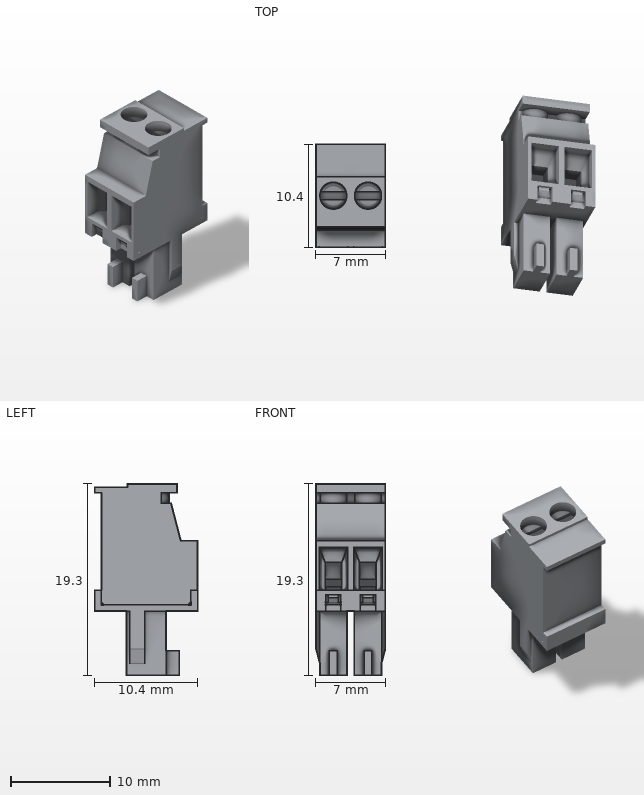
import cadquery as cq


WIDTH = 7.0
DEPTH = 10.4
HEIGHT = 19.3
FRONT_Y = -DEPTH / 2
BACK_Y = DEPTH / 2
POLE_X = WIDTH / 4
POLES = (-POLE_X, POLE_X)
SIDES = (-1, 1)

TRAY_BOTTOM_Z = 6.48
TRAY_FLOOR_Z = 7.12
LIP_TOP_Z = 8.59
LIP_THICKNESS = 0.7
LATCH_WINDOW_WIDTH = 1.55
LATCH_WINDOW_TOP_Z = 8.15

LEG_INNER_X = 0.35
LEG_OUTER_X = 3.1
LEG_DEPTH = 4.0
KEY_WIDTH = 0.77
KEY_LENGTH = 1.35
KEY_HEIGHT = 2.5
RAIL_FRONT_Y = 0.15
RAIL_BACK_Y = 1.65
RAIL_RAMP_TOP_Z = 2.7
RAIL_RAMP_BOTTOM_Z = 1.22

HOUSING_BACK_Y = BACK_Y - LIP_THICKNESS
FRONT_SETBACK = 0.01
HOUSING_FRONT_Y = FRONT_Y + FRONT_SETBACK
BOTTOM_CHAMFER = 0.23
SHELF_Z = 13.59
SHELF_BACK_Y = -3.5
LEDGE_Z = 17.37
LEDGE_FRONT_Y = -2.5
NOTCH_BACK_Y = -1.5
CAP_BOTTOM_Z = 18.4
CAP_FRONT_Y = -3.1
CAP_STEP_Y = 1.9
CAP_BACK_Z = 18.97

BOSS_RADIUS = 1.5
BOSS_FRONT_Y = -2.32

NOSE_WIDTH = 1.02
NOSE_REACH = 0.37
NOSE_RAMP_HEIGHT = 0.48

ENTRY_X = 1.74
ENTRY_WIDTH = 2.85
ENTRY_TOP_Z = 12.91
FUNNEL_FRONT_Y = -3.63
FUNNEL_LENGTH = 0.42
FUNNEL_ROUNDING = 0.5
MOUTH_MARGIN = 0.02
CHANNEL_WIDTH = 1.7
CHANNEL_TOP_Z = 11.4
CHANNEL_FRONT_Y = FUNNEL_FRONT_Y + FUNNEL_LENGTH
CHANNEL_BACK_Y = 1.35

CLAMP_WIDTH = 1.62
CLAMP_DEPTH = 2 * CHANNEL_BACK_Y
CLAMP_BOTTOM_Z = 9.69
CONTACT_WIDTH = 1.58
CONTACT_TOP_Z = 8.92

SCREW_DIAMETER = 2.7
SCREW_CROWN_DIAMETER = 2.1
SCREW_TOP_Z = 18.22
SCREW_HEIGHT = 1.0
SLOT_WIDTH = 0.81
SLOT_DEPTH = 0.5


def block(x_range, y_range, z_range):
    """Box between the given limits."""
    (x0, x1), (y0, y1), (z0, z1) = x_range, y_range, z_range
    corner = cq.Vector(x0, y0, z0)
    return cq.Workplane(obj=cq.Solid.makeBox(x1 - x0, y1 - y0, z1 - z0, corner))


def span(centre, width):
    """Limits of a width placed evenly about a centre."""
    return (centre - width / 2, centre + width / 2)


def side_profile(points, x_range):
    """Extrusion along X of an outline given as (Y, Z) points."""
    x0, x1 = x_range
    return cq.Workplane("YZ").polyline(points).close().extrude(x1 - x0).translate((x0, 0, 0))


def make_base():
    """Tray with a front and a back lip, standing on two legs."""
    tray_x = span(0, WIDTH)
    base = block(tray_x, (FRONT_Y, BACK_Y), (TRAY_BOTTOM_Z, LIP_TOP_Z))
    inside_y = (FRONT_Y + LIP_THICKNESS, BACK_Y - LIP_THICKNESS)
    base = base.cut(block(tray_x, inside_y, (TRAY_FLOOR_Z, LIP_TOP_Z)))
    for x in POLES:
        window_x = span(x, LATCH_WINDOW_WIDTH)
        base = base.cut(block(window_x, (FRONT_Y, inside_y[0]), (TRAY_BOTTOM_Z, LATCH_WINDOW_TOP_Z)))
    for side in SIDES:
        base = base.union(make_leg(side))
    return base


def make_leg(side):
    """Leg with a key at its front and a ramped rail on its outer face."""
    leg_x = sorted((side * LEG_INNER_X, side * LEG_OUTER_X))
    leg_front_y = -LEG_DEPTH / 2
    leg = block(leg_x, span(0, LEG_DEPTH), (0, TRAY_BOTTOM_Z))
    key_y = (leg_front_y - KEY_LENGTH, leg_front_y)
    key = block(span(side * POLE_X, KEY_WIDTH), key_y, (0, KEY_HEIGHT))
    rail_outline = [
        (side * LEG_OUTER_X, TRAY_BOTTOM_Z),
        (side * WIDTH / 2, TRAY_BOTTOM_Z),
        (side * WIDTH / 2, RAIL_RAMP_TOP_Z),
        (side * LEG_OUTER_X, RAIL_RAMP_BOTTOM_Z),
    ]
    rail = cq.Workplane("XZ", origin=(0, RAIL_BACK_Y, 0)).polyline(rail_outline).close()
    rail = rail.extrude(RAIL_BACK_Y - RAIL_FRONT_Y)
    return leg.union(key).union(rail)


def make_housing():
    """Housing that sits in the tray, with wire entries, screw holes and latch noses."""
    front_lip_back_y = FRONT_Y + LIP_THICKNESS
    outline = [
        (front_lip_back_y + BOTTOM_CHAMFER, TRAY_FLOOR_Z),
        (HOUSING_BACK_Y - BOTTOM_CHAMFER, TRAY_FLOOR_Z),
        (HOUSING_BACK_Y, TRAY_FLOOR_Z + BOTTOM_CHAMFER),
        (HOUSING_BACK_Y, CAP_BOTTOM_Z),
        (BACK_Y, CAP_BOTTOM_Z),
        (BACK_Y, CAP_BACK_Z),
        (CAP_STEP_Y, CAP_BACK_Z),
        (CAP_STEP_Y, HEIGHT),
        (CAP_FRONT_Y, HEIGHT),
        (CAP_FRONT_Y, CAP_BOTTOM_Z),
        (NOTCH_BACK_Y, CAP_BOTTOM_Z),
        (NOTCH_BACK_Y, LEDGE_Z),
        (LEDGE_FRONT_Y, LEDGE_Z),
        (SHELF_BACK_Y, SHELF_Z),
        (HOUSING_FRONT_Y, SHELF_Z),
        (HOUSING_FRONT_Y, LIP_TOP_Z),
        (front_lip_back_y, LIP_TOP_Z),
        (front_lip_back_y, TRAY_FLOOR_Z + BOTTOM_CHAMFER),
    ]
    housing = side_profile(outline, span(0, WIDTH))
    for x in POLES:
        housing = housing.union(make_boss(x)).union(make_latch_nose(x))
        housing = housing.cut(screw_hole(x))
    for side in SIDES:
        housing = housing.cut(wire_entry(side * ENTRY_X))
    return housing


def make_boss(x):
    """Upright round boss that fills the notch in front of a screw."""
    boss = cq.Workplane("XY", origin=(x, BOSS_FRONT_Y + BOSS_RADIUS, LEDGE_Z))
    return boss.circle(BOSS_RADIUS).extrude(CAP_BOTTOM_Z - LEDGE_Z)


def make_latch_nose(x):
    """Nose in a window of the front lip, with a ramp on its underside."""
    root_y = FRONT_Y + LIP_THICKNESS
    ramp_bottom_z = TRAY_FLOOR_Z + BOTTOM_CHAMFER
    outline = [
        (root_y, ramp_bottom_z),
        (root_y - NOSE_REACH, ramp_bottom_z + NOSE_RAMP_HEIGHT),
        (root_y - NOSE_REACH, LATCH_WINDOW_TOP_Z),
        (root_y, LATCH_WINDOW_TOP_Z),
    ]
    return side_profile(outline, span(x, NOSE_WIDTH))


def screw_hole(x):
    """Round hole from the top of the cap down to the seat of a screw."""
    seat_z = SCREW_TOP_Z - SCREW_HEIGHT
    return cq.Workplane("XY", origin=(x, 0, seat_z)).circle(SCREW_DIAMETER / 2).extrude(HEIGHT - seat_z)


def round_funnel_mouth(cutter):
    """Rounds the edges where the straight walls of an entry cutter turn into its funnel."""
    mouth_edges = cq.selectors.BoxSelector(
        (-WIDTH, FUNNEL_FRONT_Y - MOUTH_MARGIN, LIP_TOP_Z + MOUTH_MARGIN),
        (WIDTH, FUNNEL_FRONT_Y + MOUTH_MARGIN, HEIGHT),
    )
    return cutter.edges(mouth_edges).fillet(FUNNEL_ROUNDING)


def wire_entry(x):
    """Cutter for a wire entry: pocket, rounded funnel on three sides and blind channel."""
    plan = [
        (-ENTRY_WIDTH / 2, FRONT_Y),
        (-ENTRY_WIDTH / 2, FUNNEL_FRONT_Y),
        (-CHANNEL_WIDTH / 2, CHANNEL_FRONT_Y),
        (-CHANNEL_WIDTH / 2, CHANNEL_BACK_Y),
        (CHANNEL_WIDTH / 2, CHANNEL_BACK_Y),
        (CHANNEL_WIDTH / 2, CHANNEL_FRONT_Y),
        (ENTRY_WIDTH / 2, FUNNEL_FRONT_Y),
        (ENTRY_WIDTH / 2, FRONT_Y),
    ]
    elevation = [
        (FRONT_Y, LIP_TOP_Z),
        (CHANNEL_BACK_Y, LIP_TOP_Z),
        (CHANNEL_BACK_Y, CHANNEL_TOP_Z),
        (CHANNEL_FRONT_Y, CHANNEL_TOP_Z),
        (FUNNEL_FRONT_Y, ENTRY_TOP_Z),
        (FRONT_Y, ENTRY_TOP_Z),
    ]
    across = cq.Workplane("XY", origin=(0, 0, LIP_TOP_Z)).polyline(plan).close()
    across = round_funnel_mouth(across.extrude(ENTRY_TOP_Z - LIP_TOP_Z))
    upright = round_funnel_mouth(side_profile(elevation, span(0, ENTRY_WIDTH)))
    return across.intersect(upright).translate((x, 0, 0))


def make_screw(x):
    """Slotted screw head with a rounded rim."""
    screw = cq.Workplane("XY", origin=(x, 0, SCREW_TOP_Z - SCREW_HEIGHT))
    screw = screw.circle(SCREW_DIAMETER / 2).extrude(SCREW_HEIGHT)
    screw = screw.faces(">Z").edges().fillet((SCREW_DIAMETER - SCREW_CROWN_DIAMETER) / 2)
    slot_z = (SCREW_TOP_Z - SLOT_DEPTH, SCREW_TOP_Z)
    return screw.cut(block(span(x, SCREW_DIAMETER), span(0, SLOT_WIDTH), slot_z))


def make_clamp(x):
    """Clamp block hanging from the roof of a channel."""
    return block(span(x, CLAMP_WIDTH), span(0, CLAMP_DEPTH), (CLAMP_BOTTOM_Z, CHANNEL_TOP_Z))


def make_contact(x):
    """Flat contact lying on the floor of a channel."""
    return block(span(x, CONTACT_WIDTH), span(0, CLAMP_DEPTH), (LIP_TOP_Z, CONTACT_TOP_Z))


base = make_base()
housing = make_housing()
screws = [make_screw(x).val() for x in POLES]
clamps = [make_clamp(side * ENTRY_X).val() for side in SIDES]
contacts = [make_contact(side * ENTRY_X).val() for side in SIDES]

result = cq.Compound.makeCompound([base.val(), housing.val(), *screws, *clamps, *contacts])